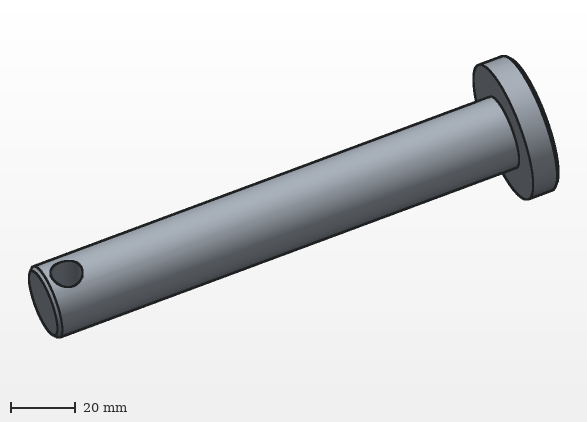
import cadquery as cq

total_length = 165.5
head_diameter = 44.3
head_thickness = 9.1
head_edge_chamfer = 1.0
shank_diameter = 23.5
tip_chamfer = 1.2
hole_diameter = 10.0
hole_to_tip = 8.0

shank_length = total_length - head_thickness


def make_head():
    """Disc on the far end of the shank, with its outer rear edge broken."""
    disc = (
        cq.Workplane("XZ", origin=(0, total_length, 0))
        .circle(head_diameter / 2)
        .extrude(head_thickness)
    )
    return disc.faces(">Y").edges().chamfer(head_edge_chamfer)


def make_shank():
    """Round bar from the head to the tip at Y = 0, chamfered at the tip."""
    bar = (
        cq.Workplane("XZ", origin=(0, shank_length, 0))
        .circle(shank_diameter / 2)
        .extrude(shank_length)
    )
    return bar.faces("<Y").edges().chamfer(tip_chamfer)


def make_cotter_hole():
    """Vertical cutter passing right through the shank near the tip."""
    return (
        cq.Workplane("XY", origin=(0, hole_to_tip, 0))
        .circle(hole_diameter / 2)
        .extrude(shank_diameter, both=True)
    )


result = make_head().union(make_shank()).cut(make_cotter_hole())